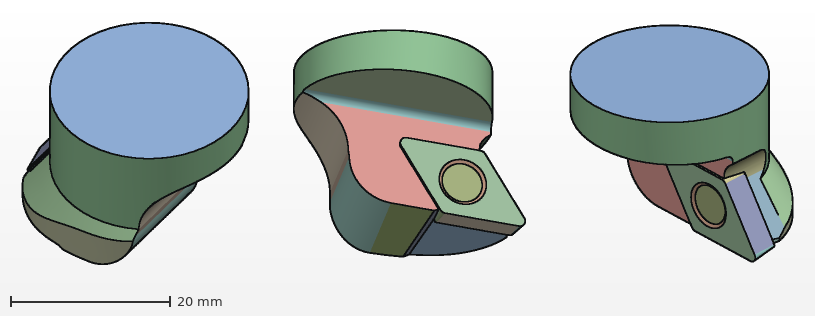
import cadquery as cq
import math

shank_diameter = 25.0
shank_radius = shank_diameter / 2
cone_top_z = -12.22
edge_angle = 58.0
floor_angle = 3.0
floor_rise = math.tan(math.radians(floor_angle))
bottom_z = -22.03
far = 35.25

insert_width = 9.52
insert_thickness = 3.96
insert_clearance = 7.0
nose_radius = 0.8
dish_floor_diameter = 5.25
dish_mouth_diameter = 6.17
dish_depth = 0.3
tip_x, tip_y, tip_z = -17.55, -0.12, -20.1
insert_yaw = 6.3

seat_step = 0.45
flute_roof_z = -5.65
flute_fillet = 0.95
groove_diameter = 5.25
groove_x, groove_z = 3.96, 10.02
groove_roof_angle = 37.0
relief_start, relief_end = 11.57, 12.63
relief_step = 0.53
relief_height = 0.75

floor_z = -18.85
heel_radius = 5.73
heel_x = 5.95
scoop_radius = 7.1
neck_top_x = 6.1

skirt_curve = [(-15.4, -5.15), (-13.28, -8.78), (-9.22, -12.07),
               (-1.88, -13.63), (1.32, -13.5), (5.95, -11.95)]


def tip_plane(depth):
    """Plane parallel to the rake face, depth below it; local x right, local y up."""
    yaw = math.radians(insert_yaw)
    normal = cq.Vector(math.sin(yaw), -math.cos(yaw), 0)
    origin = cq.Vector(tip_x, tip_y, tip_z) + normal * depth
    return cq.Plane(origin, (math.cos(yaw), math.sin(yaw), 0), normal)


def polar(length, angle):
    """Offset of a given length at an angle in degrees."""
    return (length * math.cos(math.radians(angle)), length * math.sin(math.radians(angle)))


def rhombus():
    """Sharp corners of the rake face, starting at the cutting tip."""
    side = insert_width / math.sin(math.radians(edge_angle - floor_angle))
    low = polar(side, floor_angle)
    high = polar(side, edge_angle)
    return [(0, 0), low, (low[0] + high[0], low[1] + high[1]), high]


def make_insert_blank():
    """Tapered rhombus with rounded corners, widest at the rake face."""
    outline = cq.Sketch().polygon(rhombus() + [(0, 0)]).vertices().fillet(nose_radius)
    return cq.Workplane(tip_plane(0)).placeSketch(outline).extrude(insert_thickness, taper=insert_clearance)


def make_insert():
    """Insert with a shallow conical dish in the middle of its rake face."""
    centre_x, centre_y = [value / 2 for value in rhombus()[2]]
    dish = (
        cq.Workplane(tip_plane(0))
        .center(centre_x, centre_y)
        .circle(dish_mouth_diameter / 2)
        .workplane(offset=dish_depth)
        .circle(dish_floor_diameter / 2)
        .loft()
    )
    return make_insert_blank().cut(dish)


def make_envelope():
    """Shank plus a conical skirt trimmed by an upright wall."""
    flare = (cone_top_z - bottom_z) / math.tan(math.radians(edge_angle))
    revolved = (
        cq.Workplane("XZ")
        .polyline([(0, 0), (shank_radius, 0), (shank_radius, cone_top_z),
                   (shank_radius + flare, bottom_z), (0, bottom_z)])
        .close()
        .revolve(360, (0, 0), (0, 1))
    )
    wall = (
        cq.Workplane("XY").workplane(offset=bottom_z)
        .moveTo(skirt_curve[0][0], far)
        .lineTo(*skirt_curve[0])
        .spline(skirt_curve[1:], includeCurrent=True)
        .lineTo(far, skirt_curve[-1][1])
        .lineTo(far, far)
        .close()
        .extrude(-bottom_z)
    )
    return revolved.intersect(wall)


def make_side_profile():
    """Sloped floor, rounded heel and the scoop up to the shank on the +X side."""
    heel_cx = heel_x - heel_radius
    slope = math.radians(floor_angle)
    tangent_x = heel_cx + heel_radius * math.sin(slope)
    tangent_z = floor_z + tangent_x * floor_rise
    heel_cz = tangent_z + heel_radius * math.cos(slope)
    mid_angle = floor_angle / 2 - 45
    mid_x, mid_z = polar(heel_radius, mid_angle)
    scoop_cx = neck_top_x + scoop_radius
    scoop_mid_x, scoop_mid_z = polar(scoop_radius, 135)
    return (
        cq.Workplane("XZ", origin=(0, far, 0))
        .moveTo(-far, 0)
        .lineTo(-far, floor_z - far * floor_rise)
        .lineTo(tangent_x, tangent_z)
        .threePointArc((heel_cx + mid_x, heel_cz + mid_z), (heel_x, heel_cz))
        .lineTo(neck_top_x, cone_top_z)
        .threePointArc((scoop_cx + scoop_mid_x, cone_top_z + scoop_mid_z),
                       (scoop_cx, cone_top_z + scoop_radius))
        .lineTo(scoop_cx, 0)
        .close()
        .extrude(2 * far)
    )


def make_flute():
    """Space behind the rake face, under a gently sloping roof."""
    roof_at_tip = flute_roof_z + tip_x * floor_rise - tip_z
    roof_end = roof_at_tip + 2 * far * floor_rise
    block = (
        cq.Workplane(tip_plane(seat_step))
        .polyline([(-far, -far), (2 * far, -far), (2 * far, roof_end),
                   (-far, roof_at_tip - far * floor_rise)])
        .close()
        .extrude(-far)
    )
    return block.faces(">Z").edges("<Y").fillet(flute_fillet)


def make_flank_cut():
    """Round groove above the insert, opening outwards and running on down its flank."""

    def around(angle):
        dx, dz = polar(groove_diameter / 2, angle)
        return (groove_x + dx, groove_z + dz)

    upper = around(90 - groove_roof_angle)
    lower = around(edge_angle - 90)
    roof_dx, roof_dz = polar(far, 180 - groove_roof_angle)
    flank_dx, flank_dz = polar(far, edge_angle + 180)
    return (
        cq.Workplane(tip_plane(-far))
        .moveTo(*upper)
        .threePointArc(around(0), lower)
        .lineTo(lower[0] + flank_dx, lower[1] + flank_dz)
        .lineTo(upper[0] + roof_dx, upper[1] + roof_dz)
        .close()
        .extrude(2 * far)
    )


def make_floor_relief():
    """Shallow step in the floor below the insert's trailing edge."""
    return (
        cq.Workplane(tip_plane(-far))
        .polyline([(-far, relief_height - far * floor_rise),
                   (relief_start, relief_height + relief_start * floor_rise),
                   (relief_end, relief_end * floor_rise + relief_height - relief_step),
                   (relief_end, -far), (-far, -far)])
        .close()
        .extrude(2 * far)
    )


insert = make_insert()
body = (
    make_envelope()
    .intersect(make_side_profile())
    .cut(make_flute())
    .cut(make_flank_cut())
    .cut(make_floor_relief())
    .cut(make_insert_blank())
)
result = cq.Compound.makeCompound([body.val(), insert.val()])